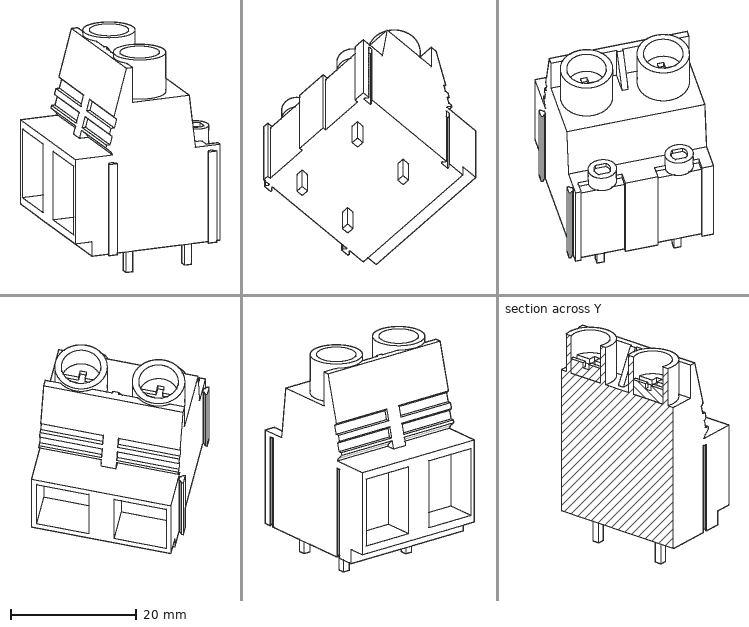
import cadquery as cq


total_height = 36.5
body_depth = 25.08
body_width = 22.85
body_base_z = 4.95
overlap = 0.35

first_pole_x = 5.15
pole_pitch = 12.7
pole_xs = [first_pole_x, first_pole_x + pole_pitch]
mid_x = sum(pole_xs) / len(pole_xs)

toe_setback = 2.9
toe_z = 7.4
front_ledge_z = 21.55
slope_foot_y = 4.93
wall_top_z = 35.77
wall_front_y = 8.85
wall_rear_y = 9.93
shoulder_z = 29.93
shoulder_rear_y = 19.75
rear_slope_foot_y = 20.8
rear_deck_z = 21.05

tube_y = 13.2
tube_diameter = 8.4
bore_diameter = 6.3
screw_height = 2.55
drive_width = 1.05
drive_cross_length = 3.45
drive_depth = 0.9

entry_width = 8.58
entry_base_z = 8.72
entry_height = 11.5
entry_depth = 5.2

bridge_width = 2.5
groove_inset = 0.6
groove_lip_drop = 0.45
groove_heights = [(27.9, 26.02), (25.08, 23.3)]
undercut_top_z = 22.85
undercut_knee_y = 6.15
undercut_knee_z = 22.1
undercut_root_y = 6.45

gusset_width = 1.02
gusset_flat_y = 10.25
gusset_foot_y = 13.35

notch_width = 7.3
notch_offset_x = 0.4
notch_front_y = 23.03
notch_shelf_rear_y = 24.53
notch_depth = 0.88
boss_y = 22.95
boss_radius_x = 2.3
boss_radius_y = 2.0
boss_top_z = 23.1
socket_diameter = 2.65
socket_flats = 2.05
socket_depth = 0.73

joint_ys = [6.2, 23.45]
joint_top_z = 20.25
joint_neck_width = 0.7
joint_head_width = 1.42
joint_neck_length = 0.2
joint_flare_length = 0.33
joint_length = 0.8

pin_side = 1.2
pin_ys = [11.2, 21.35]


def slope_y(z):
    """Y of the sloping front wall face at height z."""
    run = (wall_front_y - slope_foot_y) / (wall_top_z - front_ledge_z)
    return slope_foot_y + run * (z - front_ledge_z)


def extrude_along_x(points, start_x, width):
    """Prism with a (y, z) outline, running in +X from start_x."""
    return cq.Workplane("YZ", origin=(start_x, 0, 0)).polyline(points).close().extrude(width)


def block(width, depth, height, x, y, z):
    """Box centred on x, with its front at y and its base at z."""
    centered = (True, False, False)
    return cq.Workplane("XY").box(width, depth, height, centered=centered).translate((x, y, z))


def cylinder(diameter, height, x, y, z):
    """Upright cylinder standing at height z."""
    return cq.Workplane("XY", origin=(x, y, z)).circle(diameter / 2).extrude(height)


def housing_core():
    outline = [
        (toe_setback, body_base_z),
        (toe_setback, toe_z),
        (0, toe_z),
        (0, front_ledge_z),
        (slope_foot_y, front_ledge_z),
        (wall_front_y, wall_top_z),
        (wall_rear_y, wall_top_z),
        (wall_rear_y, shoulder_z),
        (shoulder_rear_y, shoulder_z),
        (rear_slope_foot_y, rear_deck_z),
        (body_depth, rear_deck_z),
        (body_depth, body_base_z),
    ]
    return extrude_along_x(outline, 0, body_width)


def grip_cutter():
    """The two grooves and the undercut, left whole at the bridge in the middle."""
    outlines = []
    for top_z, bottom_z in groove_heights:
        back_top_z = top_z - groove_lip_drop
        outlines.append([
            (slope_y(top_z), top_z),
            (slope_y(back_top_z) + groove_inset, back_top_z),
            (slope_y(bottom_z) + groove_inset, bottom_z),
            (slope_y(bottom_z), bottom_z),
        ])
    outlines.append([
        (slope_y(undercut_top_z), undercut_top_z),
        (undercut_knee_y, undercut_knee_z),
        (undercut_root_y, front_ledge_z),
        (slope_foot_y, front_ledge_z),
    ])
    right_start_x = mid_x + bridge_width / 2
    spans = [(0, mid_x - bridge_width / 2), (right_start_x, body_width - right_start_x)]
    cutter = cq.Workplane("XY")
    for start_x, width in spans:
        for outline in outlines:
            cutter = cutter.add(extrude_along_x(outline, start_x, width))
    return cutter.combine()


def gusset():
    outline = [
        (wall_rear_y, shoulder_z),
        (wall_rear_y, wall_top_z),
        (gusset_flat_y, wall_top_z),
        (gusset_foot_y, shoulder_z),
    ]
    return extrude_along_x(outline, mid_x - gusset_width / 2, gusset_width)


def rear_notch(pole_x):
    """Shallow shelf in the rear deck, open to a full-height recess in the rear face."""
    x = pole_x + notch_offset_x
    shelf_z = rear_deck_z - notch_depth
    shelf = block(notch_width, body_depth - notch_front_y, notch_depth, x, notch_front_y, shelf_z)
    recess_depth = body_depth - notch_shelf_rear_y
    recess_height = rear_deck_z - body_base_z
    recess = block(notch_width, recess_depth, recess_height, x, notch_shelf_rear_y, body_base_z)
    return shelf.union(recess)


def test_boss(pole_x):
    """Oval boss on the notch shelf with a double-flatted socket in its top."""
    base_z = rear_deck_z - notch_depth
    boss = (
        cq.Workplane("XY", origin=(pole_x, boss_y, base_z))
        .ellipse(boss_radius_x, boss_radius_y)
        .extrude(boss_top_z - base_z)
    )
    socket_z = boss_top_z - socket_depth
    flats_y = boss_y - socket_flats / 2
    flats = block(socket_diameter, socket_flats, socket_depth, pole_x, flats_y, socket_z)
    socket = cylinder(socket_diameter, socket_depth, pole_x, boss_y, socket_z).intersect(flats)
    return boss.cut(socket)


def dovetail(face_x, y):
    """Upright dovetail bar whose neck starts on the plane x = face_x."""
    neck_x = face_x + joint_neck_length
    flare_x = neck_x + joint_flare_length
    end_x = face_x + joint_length
    half_neck = joint_neck_width / 2
    half_head = joint_head_width / 2
    outline = [
        (face_x, y - half_neck),
        (neck_x, y - half_neck),
        (flare_x, y - half_head),
        (end_x, y - half_head),
        (end_x, y + half_head),
        (flare_x, y + half_head),
        (neck_x, y + half_neck),
        (face_x, y + half_neck),
    ]
    base = cq.Workplane("XY", origin=(0, 0, body_base_z))
    return base.polyline(outline).close().extrude(joint_top_z - body_base_z)


def make_housing():
    housing = housing_core().cut(grip_cutter()).union(gusset())
    for x in pole_xs:
        tube_height = total_height - shoulder_z
        housing = housing.union(cylinder(tube_diameter, tube_height, x, tube_y, shoulder_z))
        housing = housing.cut(cylinder(bore_diameter, tube_height, x, tube_y, shoulder_z))
        housing = housing.cut(block(entry_width, entry_depth, entry_height, x, 0, entry_base_z))
        housing = housing.cut(rear_notch(x)).union(test_boss(x))
    for y in joint_ys:
        housing = housing.cut(dovetail(0, y)).union(dovetail(body_width, y))
    return housing


def make_screw(x):
    """Combination-drive screw head that fills the lower part of its bore."""
    screw = cylinder(bore_diameter, screw_height, x, tube_y, shoulder_z)
    drive_z = shoulder_z + screw_height - drive_depth
    slot_length = bore_diameter + 2 * overlap
    slot_y = tube_y - drive_width / 2
    slot = block(slot_length, drive_width, drive_depth, x, slot_y, drive_z)
    cross_y = tube_y - drive_cross_length / 2
    cross = block(drive_width, drive_cross_length, drive_depth, x, cross_y, drive_z)
    return screw.cut(slot).cut(cross)


def make_pin(x, y):
    """Square solder pin standing against the underside of the housing."""
    return block(pin_side, pin_side, body_base_z, x, y - pin_side / 2, 0)


housing = make_housing()
screws = [make_screw(x) for x in pole_xs]
pins = [make_pin(x, y) for x in pole_xs for y in pin_ys]

result = cq.Compound.makeCompound([
    housing.solids().val(),
    *[screw.solids().val() for screw in screws],
    *[pin.solids().val() for pin in pins],
])